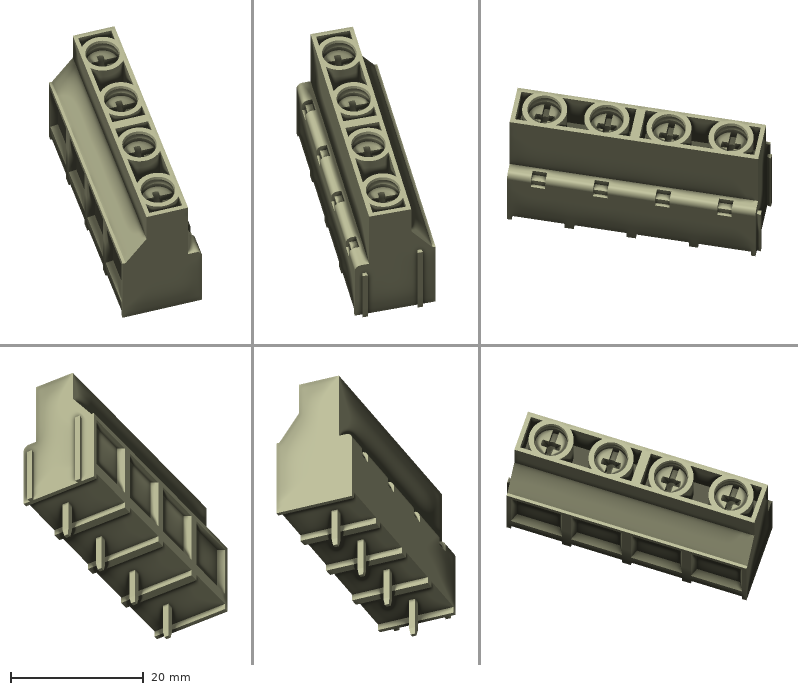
import cadquery as cq

POLES = 4
PITCH = 9.52
LENGTH = POLES * PITCH
DEPTH = 12.5
HEIGHT = 21.7
POLE_CENTERS = [(i - (POLES - 1) / 2) * PITCH for i in range(POLES)]

TOWER_FRONT = 3.75
TOWER_BACK = DEPTH - 2.2
SLOPE_TOP = 16.7
FRONT_LEDGE_DEPTH = 0.46
FRONT_LEDGE_HEIGHT = 12.3
BACK_LEDGE_HEIGHT = 11.1
BACK_EDGE_RADIUS = 1.0

FOOT_HEIGHT = 1.0
WALL = 0.7
BAY_WIDTH = PITCH - 2 * WALL
WINDOW_BOTTOM = 2.95
WINDOW_TOP = 11.45
WINDOW_DEPTH = 1.0
WINDOW_SIDE_INSET = 0.65
WINDOW_FLOOR_RISE = 0.93

POLES_PER_POCKET = 2
POCKET_LENGTH = POLES_PER_POCKET * PITCH - 2 * WALL
POCKET_WIDTH = 5.2
POCKET_DEPTH = 6.0
RING_RADIUS = 3.4

SCREW_Y = 7.0
SCREW_DIAMETER = 5.0
MOUTH_DIAMETER = 5.2
LIP_DIAMETER = 4.9
LIP_DEPTH = 0.4
GROOVE_DIAMETER = 5.2
GROOVE_BOTTOM_DEPTH = 1.4

NOTCH_WIDTH = 2.2
NOTCH_REACH = 1.57
NOTCH_DEPTH = 1.0
NOTCH_STEP_REACH = 0.5
NOTCH_STEP_DEPTH = 2.0

RIB_PROJECTION = 0.6
RIB_HEAD_WIDTH = 0.88
RIB_NECK_WIDTH = 0.58
FRONT_RIB_Y = 2.53
BACK_RIB_Y = DEPTH - 1.46
BACK_RIB_HEIGHT = 9.25

SCREW_TOP = HEIGHT - 2.1
SCREW_LENGTH = 8.0
SCREW_BOTTOM = SCREW_TOP - SCREW_LENGTH
SLOT_WIDTH = 1.0
SLOT_DEPTH = 1.2
CROSS_RADIUS = 1.53
CROSS_ROOT_RADIUS = 0.75
CROSS_DEPTH = 2.1
CROSS_TIP_DEPTH = 2.55
PIN_Y = DEPTH - 4.8
PIN_WIDTH = 1.0
PIN_BOTTOM = -5.0
PIN_TIP_LENGTH = 1.0
PIN_TIP_X = 0.6
PIN_TIP_Y = 0.7


def box(x_size, y_size, z_size, x_center, y_center, z_bottom):
    """Block placed by its plan center and its underside."""
    block = cq.Workplane("XY").box(x_size, y_size, z_size, centered=(True, True, False))
    return block.translate((x_center, y_center, z_bottom))


def cylinder(diameter, z_bottom, z_top, x_center, y_center):
    bar = cq.Workplane("XY").circle(diameter / 2).extrude(z_top - z_bottom)
    return bar.translate((x_center, y_center, z_bottom))


def housing_block():
    outline = (
        cq.Workplane("YZ", origin=(-LENGTH / 2, 0, 0))
        .moveTo(0, 0)
        .lineTo(DEPTH, 0)
        .lineTo(DEPTH, BACK_LEDGE_HEIGHT - BACK_EDGE_RADIUS)
        .radiusArc((DEPTH - BACK_EDGE_RADIUS, BACK_LEDGE_HEIGHT), -BACK_EDGE_RADIUS)
        .lineTo(TOWER_BACK, BACK_LEDGE_HEIGHT)
        .lineTo(TOWER_BACK, HEIGHT)
        .lineTo(TOWER_FRONT, HEIGHT)
        .lineTo(TOWER_FRONT, SLOPE_TOP)
        .lineTo(FRONT_LEDGE_DEPTH, FRONT_LEDGE_HEIGHT)
        .lineTo(0, FRONT_LEDGE_HEIGHT)
        .close()
    )
    return outline.extrude(LENGTH)


def underside_gap(x_center):
    return box(BAY_WIDTH, DEPTH, FOOT_HEIGHT, x_center, DEPTH / 2, 0)


def wire_window(x_center):
    """Recess with sloping sides and floor, and a level top."""
    inner_width = BAY_WIDTH - 2 * WINDOW_SIDE_INSET
    outer_height = WINDOW_TOP - WINDOW_BOTTOM
    inner_height = outer_height - WINDOW_FLOOR_RISE
    return (
        cq.Workplane("XZ", origin=(x_center, 0, 0))
        .center(0, WINDOW_TOP - outer_height / 2)
        .rect(BAY_WIDTH, outer_height)
        .workplane(offset=-WINDOW_DEPTH)
        .center(0, WINDOW_FLOOR_RISE / 2)
        .rect(inner_width, inner_height)
        .loft(ruled=True)
    )


def top_pocket(pole_centers):
    """Rectangular pocket that leaves a ring of material around each screw."""
    x_center = sum(pole_centers) / len(pole_centers)
    floor = HEIGHT - POCKET_DEPTH
    pocket = box(POCKET_LENGTH, POCKET_WIDTH, POCKET_DEPTH, x_center, SCREW_Y, floor)
    for x in pole_centers:
        pocket = pocket.cut(cylinder(2 * RING_RADIUS, floor, HEIGHT, x, SCREW_Y))
    return pocket


def screw_bore(x_center):
    lip_height = HEIGHT - LIP_DEPTH
    groove_bottom = HEIGHT - GROOVE_BOTTOM_DEPTH
    groove_middle = (lip_height + groove_bottom) / 2
    return (
        cq.Workplane("XZ", origin=(x_center, SCREW_Y, 0))
        .moveTo(0, HEIGHT)
        .lineTo(MOUTH_DIAMETER / 2, HEIGHT)
        .lineTo(LIP_DIAMETER / 2, lip_height)
        .threePointArc((GROOVE_DIAMETER / 2, groove_middle), (SCREW_DIAMETER / 2, groove_bottom))
        .lineTo(SCREW_DIAMETER / 2, SCREW_BOTTOM)
        .lineTo(0, SCREW_BOTTOM)
        .close()
        .revolve(360, (0, 0, 0), (0, 1, 0))
    )


def pin_hole(x_center):
    return box(PIN_WIDTH, PIN_WIDTH, SCREW_BOTTOM, x_center, PIN_Y, 0)


def back_notch(x_center):
    notch = box(NOTCH_WIDTH, NOTCH_REACH, NOTCH_DEPTH, x_center,
                DEPTH - NOTCH_REACH / 2, BACK_LEDGE_HEIGHT - NOTCH_DEPTH)
    step = box(NOTCH_WIDTH, NOTCH_STEP_REACH, NOTCH_STEP_DEPTH, x_center,
               DEPTH - NOTCH_STEP_REACH / 2, BACK_LEDGE_HEIGHT - NOTCH_STEP_DEPTH)
    return notch.union(step)


def dovetail_rib(y_center, height):
    end_face = -LENGTH / 2
    tip = end_face - RIB_PROJECTION
    return (
        cq.Workplane("XY")
        .polyline([
            (end_face, y_center - RIB_NECK_WIDTH / 2),
            (tip, y_center - RIB_HEAD_WIDTH / 2),
            (tip, y_center + RIB_HEAD_WIDTH / 2),
            (end_face, y_center + RIB_NECK_WIDTH / 2),
        ])
        .close()
        .extrude(height)
    )


def make_housing():
    housing = housing_block()
    housing = housing.union(dovetail_rib(FRONT_RIB_Y, FRONT_LEDGE_HEIGHT))
    housing = housing.union(dovetail_rib(BACK_RIB_Y, BACK_RIB_HEIGHT))
    for first in range(0, POLES, POLES_PER_POCKET):
        housing = housing.cut(top_pocket(POLE_CENTERS[first:first + POLES_PER_POCKET]))
    for x in POLE_CENTERS:
        for cutter in (underside_gap, wire_window, screw_bore, pin_hole, back_notch):
            housing = housing.cut(cutter(x))
    return housing


def cross_recess():
    """Tapered cross-shaped driver recess, cut from the screw top at Z = 0."""
    taper = (
        cq.Workplane("XZ")
        .polyline([(0, 0), (CROSS_RADIUS, 0), (CROSS_ROOT_RADIUS, -CROSS_DEPTH), (0, -CROSS_TIP_DEPTH)])
        .close()
        .revolve(360, (0, 0, 0), (0, 1, 0))
    )
    root_core = cylinder(2 * CROSS_ROOT_RADIUS, -CROSS_TIP_DEPTH, 0, 0, 0)
    arm = box(2 * CROSS_RADIUS, SLOT_WIDTH, CROSS_TIP_DEPTH, 0, 0, -CROSS_TIP_DEPTH)
    cross = arm.union(arm.rotate((0, 0, 0), (0, 0, 1), 90)).union(root_core)
    return taper.intersect(cross)


def make_terminal(x_center):
    screw = cylinder(SCREW_DIAMETER, SCREW_BOTTOM, SCREW_TOP, x_center, SCREW_Y)
    slot = box(SLOT_WIDTH, SCREW_DIAMETER, SLOT_DEPTH, x_center, SCREW_Y, SCREW_TOP - SLOT_DEPTH)
    recess = cross_recess().translate((x_center, SCREW_Y, SCREW_TOP))
    tip_top = PIN_BOTTOM + PIN_TIP_LENGTH
    shank = box(PIN_WIDTH, PIN_WIDTH, SCREW_BOTTOM - tip_top, x_center, PIN_Y, tip_top)
    tip = (
        cq.Workplane("XY", origin=(x_center, PIN_Y, PIN_BOTTOM))
        .rect(PIN_TIP_X, PIN_TIP_Y)
        .workplane(offset=PIN_TIP_LENGTH)
        .rect(PIN_WIDTH, PIN_WIDTH)
        .loft(ruled=True)
    )
    return screw.cut(slot).cut(recess).union(shank).union(tip)


housing = make_housing()
terminals = [make_terminal(x) for x in POLE_CENTERS]

result = cq.Compound.makeCompound([housing.val(), *[terminal.val() for terminal in terminals]])